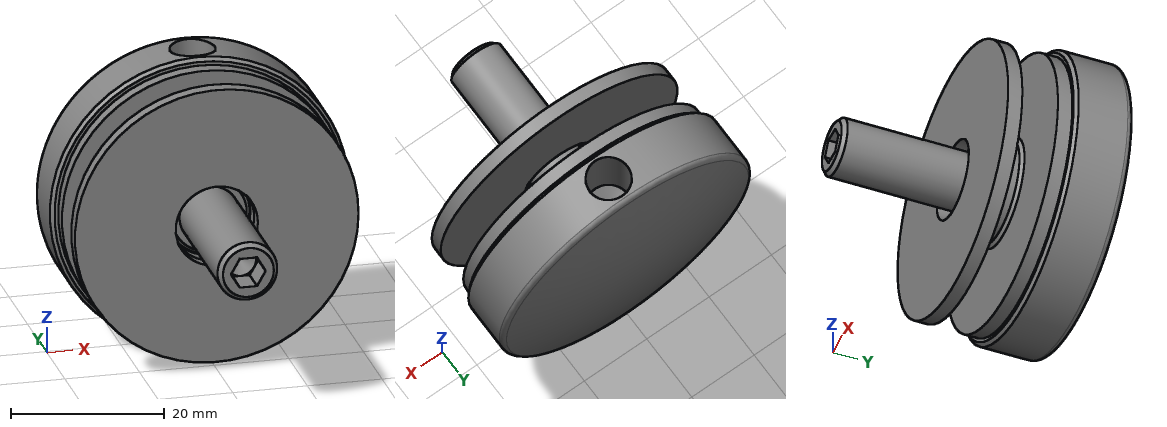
import cadquery as cq
import math


CAP_DIAMETER = 40
CAP_RIM_HEIGHT = 8
DOME_RISE = 2.9
CAP_BACK_DIAMETER = 39.0
CAP_RIM_FILLET = 0.8
BOSS_DIAMETER = 11.0
BOSS_TIP_DIAMETER = 10

RIM_HOLE_DIAMETER = 6
RIM_HOLE_Y = 4
RIM_HOLE_DEPTH = 10
DRILL_POINT_ANGLE = 118

DISC_DIAMETER = 38
DISC_THICKNESS = 2
SLEEVE_DIAMETER = 14
SLEEVE_LENGTH = 3.0
SLEEVE_ROOT_DIAMETER = 15.0

WASHER_HOLE_DIAMETER = 11.0
WASHER_GAP = 2

STUD_DIAMETER = 8
STUD_LENGTH = 30
STUD_PROJECTION = 26
STUD_TIP_DIAMETER = 6.8
SOCKET_ACROSS_FLATS = 4
SOCKET_DEPTH = 4
SOCKET_SIDES = 6

CAP_RADIUS = CAP_DIAMETER / 2
CAP_BACK_CHAMFER = (CAP_DIAMETER - CAP_BACK_DIAMETER) / 2
BOSS_CHAMFER = (BOSS_DIAMETER - BOSS_TIP_DIAMETER) / 2
STUD_CHAMFER = (STUD_DIAMETER - STUD_TIP_DIAMETER) / 2
DOME_TOP_Y = CAP_RIM_HEIGHT + DOME_RISE
DOME_RADIUS = (CAP_RADIUS**2 + DOME_RISE**2) / (2 * DOME_RISE)
DISC_RADIUS = DISC_DIAMETER / 2
SLEEVE_RADIUS = SLEEVE_DIAMETER / 2
SLEEVE_ROOT_CHAMFER = (SLEEVE_ROOT_DIAMETER - SLEEVE_DIAMETER) / 2
BOSS_LENGTH = DISC_THICKNESS + SLEEVE_LENGTH
SLEEVE_END_Y = -BOSS_LENGTH
WASHER_BACK_Y = SLEEVE_END_Y - WASHER_GAP
STUD_TIP_Y = -STUD_PROJECTION
STUD_INNER_Y = STUD_TIP_Y + STUD_LENGTH


def cylinder_toward_minus_y(diameter, back_y, length):
    """Solid cylinder on the Y axis that starts at back_y and runs toward -Y."""
    return cq.Workplane("XZ", origin=(0, back_y, 0)).circle(diameter / 2).extrude(length)


def turned(profile):
    """Revolve a closed half profile, drawn in X (radius) and Y, about the Y axis."""
    return profile.close().revolve(360, (0, 0, 0), (0, 1, 0))


def drill_point(diameter):
    """Conical end of a drilled hole: base at the origin, apex toward +Y."""
    radius = diameter / 2
    height = radius / math.tan(math.radians(DRILL_POINT_ANGLE / 2))
    return turned(cq.Workplane("XY").lineTo(radius, 0).lineTo(0, height))


def make_stud():
    """Set screw with a chamfered tip and a hexagon socket that ends in a drill point."""
    stud = cylinder_toward_minus_y(STUD_DIAMETER, STUD_INNER_Y, STUD_LENGTH)
    stud = stud.faces("<Y").chamfer(STUD_CHAMFER)

    across_corners = SOCKET_ACROSS_FLATS / math.cos(math.pi / SOCKET_SIDES)
    socket = (
        cq.Workplane("XZ", origin=(0, STUD_TIP_Y, 0))
        .polygon(SOCKET_SIDES, across_corners)
        .extrude(-SOCKET_DEPTH)
    )
    socket_end = drill_point(SOCKET_ACROSS_FLATS).translate((0, STUD_TIP_Y + SOCKET_DEPTH, 0))
    return stud.cut(socket).cut(socket_end)


def make_rim_hole():
    """Cutter for the blind hole drilled from the +Z side of the rim toward the axis."""
    floor_z = CAP_RADIUS - RIM_HOLE_DEPTH
    bore = (
        cq.Workplane("XY", origin=(0, RIM_HOLE_Y, floor_z))
        .circle(RIM_HOLE_DIAMETER / 2)
        .extrude(RIM_HOLE_DEPTH)
    )
    point = (
        drill_point(RIM_HOLE_DIAMETER)
        .rotate((0, 0, 0), (1, 0, 0), -90)
        .translate((0, RIM_HOLE_Y, floor_z))
    )
    return bore.union(point)


def make_cap():
    """Domed cap with a boss toward -Y, a blind seat for the stud and a drilled rim hole."""
    half_radius = CAP_RADIUS / 2
    dome_middle_y = DOME_TOP_Y - DOME_RADIUS + math.sqrt(DOME_RADIUS**2 - half_radius**2)
    cap = turned(
        cq.Workplane("XY")
        .lineTo(CAP_RADIUS, 0)
        .lineTo(CAP_RADIUS, CAP_RIM_HEIGHT)
        .threePointArc((half_radius, dome_middle_y), (0, DOME_TOP_Y))
    )
    cap = cap.faces("<Y").chamfer(CAP_BACK_CHAMFER)
    rim_edge = cq.selectors.NearestToPointSelector((0, CAP_RIM_HEIGHT, 0))
    cap = cap.edges(rim_edge).fillet(CAP_RIM_FILLET)

    boss = cylinder_toward_minus_y(BOSS_DIAMETER, 0, BOSS_LENGTH).faces("<Y").chamfer(BOSS_CHAMFER)
    stud_seat = cylinder_toward_minus_y(STUD_DIAMETER, STUD_INNER_Y, STUD_LENGTH)
    return cap.union(boss).cut(stud_seat).cut(make_rim_hole())


def make_gasket():
    """Disc with a short sleeve toward -Y, bored to fit over the boss of the cap."""
    gasket = turned(
        cq.Workplane("XY")
        .lineTo(DISC_RADIUS, 0)
        .lineTo(DISC_RADIUS, -DISC_THICKNESS)
        .lineTo(SLEEVE_RADIUS + SLEEVE_ROOT_CHAMFER, -DISC_THICKNESS)
        .lineTo(SLEEVE_RADIUS, -DISC_THICKNESS - SLEEVE_ROOT_CHAMFER)
        .lineTo(SLEEVE_RADIUS, SLEEVE_END_Y)
        .lineTo(0, SLEEVE_END_Y)
    )
    return gasket.cut(cylinder_toward_minus_y(BOSS_DIAMETER, 0, BOSS_LENGTH))


def make_washer():
    """Flat ring of the gasket disc's size, held clear of the sleeve and the stud."""
    disc = cylinder_toward_minus_y(DISC_DIAMETER, WASHER_BACK_Y, DISC_THICKNESS)
    return disc.cut(cylinder_toward_minus_y(WASHER_HOLE_DIAMETER, WASHER_BACK_Y, DISC_THICKNESS))


stud = make_stud()
cap = make_cap()
gasket = make_gasket()
washer = make_washer()

result = cq.Compound.makeCompound([cap.val(), gasket.val(), washer.val(), stud.val()])